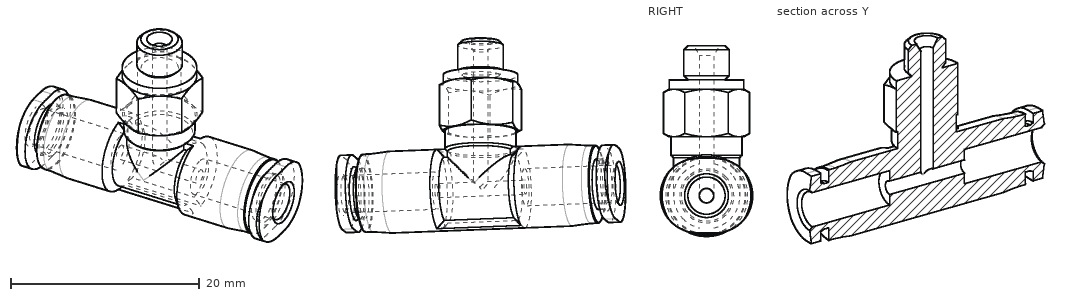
import cadquery as cq
import math


half_length = 15.1
body_dia = 8.7
body_nose_dia = 8.3
body_nose_chamfer = 0.1
body_nose_x = 12.68
body_ring_x = 11.8
body_taper_x = 9.78
body_inner_x = 4.55
waist_dia = 7.0
waist_x = 3.78

flange_height = 7.9
flange_width = 9.8
flange_back_x = 13.62
flange_rim_x = 14.55
flange_face_x = 14.77
flange_face_dia = 9.42
neck_dia = 5.38
neck_flare = 0.18
neck_flare_length = 0.4

rib_width = 1.57

collar_dia = 7.55
collar_chamfer = (collar_dia - waist_dia) / 2
collar_base_z = 4.02
hex_base_z = 6.25
hex_top_z = 11.3
hex_flats = 7.95
hex_half_side_angle = 30.0
hex_chamfer_angle = 30.0
seat_z = 12.3
thread_dia = 4.83
thread_end_dia = 3.95
thread_chamfer = (thread_dia - thread_end_dia) / 2
stem_top_z = 15.92

passage_dia = 1.5
tube_bore_dia = 3.95
tube_mouth_dia = 4.65
tube_stop_x = 4.83
mouth_chamfer = (tube_mouth_dia - tube_bore_dia) / 2
countersink_dia = 2.7
countersink_angle = 60.0


def turned_x(profile):
    """Revolve (x, radius) points about the X axis."""
    points = [(profile[0][0], 0)] + profile + [(profile[-1][0], 0)]
    return cq.Workplane("XY").polyline(points).close().revolve(360, (0, 0, 0), (1, 0, 0))


def turned_z(profile):
    """Revolve (radius, z) points about the Z axis."""
    points = [(0, profile[0][1])] + profile + [(0, profile[-1][1])]
    return cq.Workplane("XZ").polyline(points).close().revolve(360, (0, 0, 0), (0, 1, 0))


def end_body():
    return turned_x([
        (0, waist_dia / 2),
        (waist_x, waist_dia / 2),
        (body_inner_x, body_dia / 2),
        (body_taper_x, body_dia / 2),
        (body_ring_x, body_nose_dia / 2),
        (body_nose_x - body_nose_chamfer, body_nose_dia / 2),
        (body_nose_x, body_nose_dia / 2 - body_nose_chamfer),
    ])


def release_collar():
    neck = turned_x([
        (body_taper_x, neck_dia / 2),
        (flange_back_x - neck_flare_length, neck_dia / 2),
        (flange_back_x, neck_dia / 2 + neck_flare),
        (flange_rim_x, neck_dia / 2 + neck_flare),
    ])
    flange = (
        cq.Workplane("YZ", origin=(flange_back_x, 0, 0))
        .slot2D(flange_width, flange_height)
        .extrude(half_length - flange_back_x)
    )
    coned_face = turned_x([
        (flange_back_x, flange_width / 2),
        (flange_rim_x, flange_width / 2),
        (flange_face_x, flange_face_dia / 2),
        (half_length, tube_mouth_dia / 2),
    ])
    return neck.union(flange.intersect(coned_face))


def tube_bore():
    return turned_x([
        (tube_stop_x, tube_bore_dia / 2),
        (half_length - mouth_chamfer, tube_bore_dia / 2),
        (half_length, tube_mouth_dia / 2),
    ])


def ribs():
    envelope = cq.Workplane("YZ").circle(body_dia / 2).extrude(body_inner_x, both=True)
    return envelope.intersect(cq.Workplane("XY").box(2 * body_inner_x, rib_width, body_dia))


def hexagon():
    corner_radius = hex_flats / 2 / math.cos(math.radians(hex_half_side_angle))
    chamfer_radius = hex_flats / 2
    chamfer_height = (corner_radius - chamfer_radius) * math.tan(math.radians(hex_chamfer_angle))
    prism = (
        cq.Workplane("XY", origin=(0, 0, hex_base_z))
        .polygon(6, 2 * corner_radius)
        .extrude(hex_top_z - hex_base_z)
        .rotate((0, 0, 0), (0, 0, 1), hex_half_side_angle)
    )
    chamfers = turned_z([
        (chamfer_radius, hex_base_z),
        (corner_radius, hex_base_z + chamfer_height),
        (corner_radius, hex_top_z - chamfer_height),
        (chamfer_radius, hex_top_z),
    ])
    return prism.intersect(chamfers)


def stem():
    turned = turned_z([
        (waist_dia / 2, 0),
        (waist_dia / 2, collar_base_z),
        (collar_dia / 2, collar_base_z + collar_chamfer),
        (collar_dia / 2, hex_base_z),
        (hex_flats / 2, hex_base_z),
        (hex_flats / 2, seat_z),
        (thread_end_dia / 2, seat_z),
        (thread_dia / 2, seat_z + thread_chamfer),
        (thread_dia / 2, stem_top_z - thread_chamfer),
        (thread_end_dia / 2, stem_top_z),
    ])
    return turned.union(hexagon())


def stem_passage():
    half_angle = math.radians(countersink_angle / 2)
    countersink_depth = (countersink_dia - passage_dia) / 2 / math.tan(half_angle)
    return turned_z([
        (passage_dia / 2, 0),
        (passage_dia / 2, stem_top_z - countersink_depth),
        (countersink_dia / 2, stem_top_z),
    ])


half_run = end_body().union(release_collar())
run = half_run.union(half_run.mirror("YZ"))
run_passage = cq.Workplane("YZ").circle(passage_dia / 2).extrude(half_length, both=True)

result = (
    run.union(ribs())
    .union(stem())
    .cut(run_passage)
    .cut(tube_bore())
    .cut(tube_bore().mirror("YZ"))
    .cut(stem_passage())
)